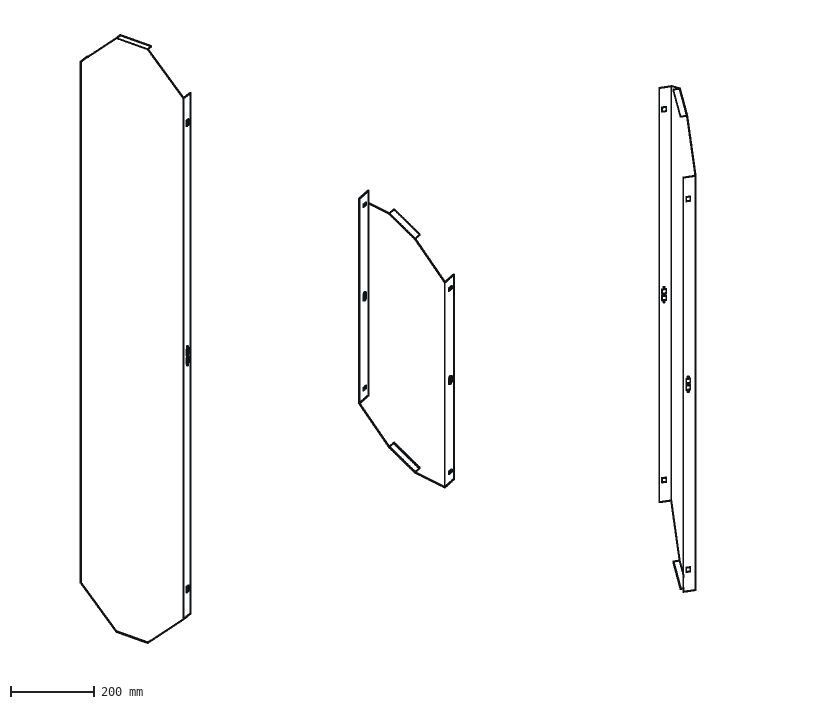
import cadquery as cq

length = 1688.0
width = 297.0
depth = 30.0
sheet = 1.5

lip_height = 2.0
end_width = 90.0
corner = (width - end_width) / 2
tab_depth = 17.0
panel_bottom = -length / 2 + lip_height
panel_top = length / 2
panel_length = panel_top - panel_bottom

opening_y = 19.0
opening_width = 10.0
opening_length = 15.0
inner_opening_offset = 12.0
outer_opening_offset = 662.0
pin_hole_diameter = 4.2
pin_hole_pitch = 25.0


def box_from(x_size, y_size, z_size, x, y, z):
    """Box centred on x, starting at y and z."""
    return (
        cq.Workplane("XY")
        .box(x_size, y_size, z_size, centered=(True, False, False))
        .translate((x, y, z))
    )


def make_panel():
    """Flat sheet with its four corners cut at 45 degrees."""
    blank = box_from(width, sheet, panel_length, 0, 0, panel_bottom)
    return blank.edges("|Y").chamfer(corner)


def make_side_flange(side):
    """Flange along one straight side of the panel."""
    x = side * (width - sheet) / 2
    return box_from(sheet, depth, panel_length - 2 * corner, x, 0, panel_bottom + corner)


def make_end_tabs():
    """Folded tabs at both ends; the lower one carries a downward lip."""
    top_tab = box_from(end_width, tab_depth, sheet, 0, 0, panel_top - sheet)
    bottom_tab = box_from(end_width, tab_depth, sheet, 0, 0, panel_bottom)
    lip = box_from(end_width, sheet, lip_height + sheet, 0, tab_depth - sheet, -length / 2)
    return top_tab.union(bottom_tab).union(lip)


def flange_points(*offsets):
    """Points mirrored about Z = 0, in the YZ plane."""
    return [(opening_y, sign * offset) for offset in offsets for sign in (-1, 1)]


def make_flange_openings():
    """Rectangular openings and pin holes passing through both side flanges."""
    windows = (
        cq.Workplane("YZ")
        .pushPoints(flange_points(inner_opening_offset, outer_opening_offset))
        .rect(opening_width, opening_length)
        .extrude(width, both=True)
    )
    pin_holes = (
        cq.Workplane("YZ")
        .pushPoints([(opening_y, 0)] + flange_points(pin_hole_pitch))
        .circle(pin_hole_diameter / 2)
        .extrude(width, both=True)
    )
    return windows.union(pin_holes)


body = make_panel().union(make_end_tabs())
for side in (-1, 1):
    body = body.union(make_side_flange(side))

result = body.cut(make_flange_openings())